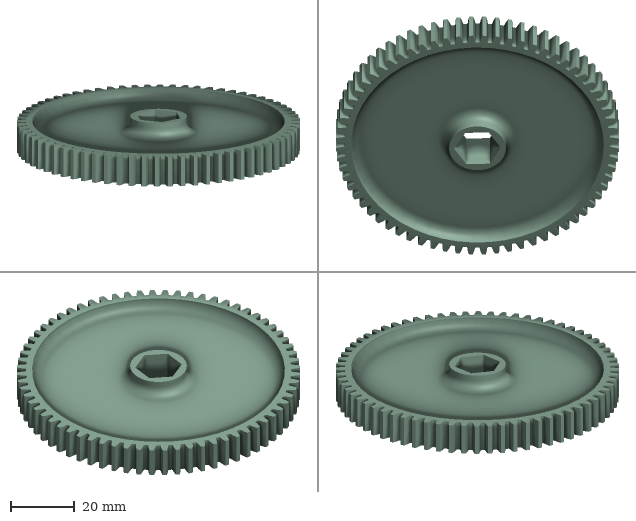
import cadquery as cq
import math

overall_width = 88.85
tooth_count = 68
pressure_angle = math.radians(14.5)
dedendum_factor = 1.25
root_fillet = 0.4
face_width = 9.4
hub_length = 12.6
hub_diameter = 17.8
hex_across_flats = 12.7
rim_inner_diameter = 79.25
web_thickness = 2.5
recess_fillet = 3.2

tooth_pitch_angle = 2 * math.pi / tooth_count


def involute_angle(base_ratio):
    """Polar angle an involute sweeps from its base circle out to base_ratio base radii."""
    roll = math.sqrt(base_ratio**2 - 1)
    return roll - math.atan(roll)


def half_gap_angle(base_ratio):
    """Half the angle between the flanks of a gap, base_ratio base radii from the axis."""
    at_pitch_circle = tooth_pitch_angle / 4
    return at_pitch_circle + involute_angle(base_ratio) - involute_angle(1 / math.cos(pressure_angle))


tip_base_ratio = (tooth_count + 2) / (tooth_count * math.cos(pressure_angle))
tip_radius = overall_width / 2 / math.cos(half_gap_angle(tip_base_ratio))
module = 2 * tip_radius / (tooth_count + 2)
pitch_radius = module * tooth_count / 2
base_radius = pitch_radius * math.cos(pressure_angle)
root_radius = pitch_radius - dedendum_factor * module


def polar(radius, angle):
    return (radius * math.cos(angle), radius * math.sin(angle))


def turned(point, angle):
    x, y = point
    return (
        x * math.cos(angle) - y * math.sin(angle),
        x * math.sin(angle) + y * math.cos(angle),
    )


def mirrored(point):
    x, y = point
    return (x, -y)


def gap_side():
    """Points on the +Y side of the gap on +X: root end, fillet middle, then the flank outwards."""
    fillet_centre_radius = root_radius + root_fillet
    tangent_length = math.sqrt(fillet_centre_radius**2 - base_radius**2) - root_fillet
    flank_start = math.hypot(base_radius, tangent_length)
    flank_lean = math.atan(tangent_length / base_radius)

    flank_radii = (flank_start, (flank_start + tip_radius) / 2, tip_radius)
    flank = [polar(radius, half_gap_angle(radius / base_radius)) for radius in flank_radii]

    into_tooth = half_gap_angle(flank_start / base_radius) + flank_lean + math.pi / 2
    offset_x, offset_y = polar(root_fillet, into_tooth)
    centre_x = flank[0][0] - offset_x
    centre_y = flank[0][1] - offset_y
    centre_angle = math.atan2(centre_y, centre_x)
    into_root = centre_angle + math.pi
    middle_x, middle_y = polar(root_fillet, (into_tooth + into_root) / 2)
    fillet_middle = (centre_x + middle_x, centre_y + middle_y)
    return [polar(root_radius, centre_angle), fillet_middle] + flank


def toothed_blank():
    """Solid disc with involute teeth and rounded gap roots."""
    side = gap_side()
    first_corner = mirrored(side[-1])
    outline = cq.Workplane("XY", origin=(0, 0, -face_width / 2)).moveTo(*first_corner)
    for i in range(tooth_count):
        gap_angle = i * tooth_pitch_angle
        next_gap_angle = gap_angle + tooth_pitch_angle
        tip_middle_angle = gap_angle + tooth_pitch_angle / 2
        root_in, fillet_in, foot_in, flank_in, _ = [turned(mirrored(p), gap_angle) for p in side]
        root_out, fillet_out, foot_out, flank_out, tip_out = [turned(p, gap_angle) for p in side]
        outline = (
            outline.threePointArc(flank_in, foot_in)
            .threePointArc(fillet_in, root_in)
            .threePointArc(polar(root_radius, gap_angle), root_out)
            .threePointArc(fillet_out, foot_out)
            .threePointArc(flank_out, tip_out)
            .threePointArc(polar(tip_radius, tip_middle_angle), turned(first_corner, next_gap_angle))
        )
    return outline.close().extrude(face_width)


def upper_recess():
    """Ring-shaped recess above the web, rounded where the web meets the hub and the rim."""
    depth = (face_width - web_thickness) / 2
    return (
        cq.Workplane("XY", origin=(0, 0, web_thickness / 2))
        .circle(rim_inner_diameter / 2)
        .circle(hub_diameter / 2)
        .extrude(depth)
        .faces("<Z")
        .edges()
        .fillet(recess_fillet)
    )


def hub():
    return cq.Workplane("XY").circle(hub_diameter / 2).extrude(hub_length / 2, both=True)


def hex_bore():
    """Hexagonal through hole with flats facing -X and +X."""
    across_corners = hex_across_flats / math.cos(math.pi / 6)
    hexagon = cq.Workplane("XY").transformed(rotate=(0, 0, 30)).polygon(6, across_corners)
    return hexagon.extrude(hub_length / 2, both=True)


recess = upper_recess()
result = (
    toothed_blank()
    .cut(recess)
    .cut(recess.mirror("XY"))
    .union(hub())
    .cut(hex_bore())
)